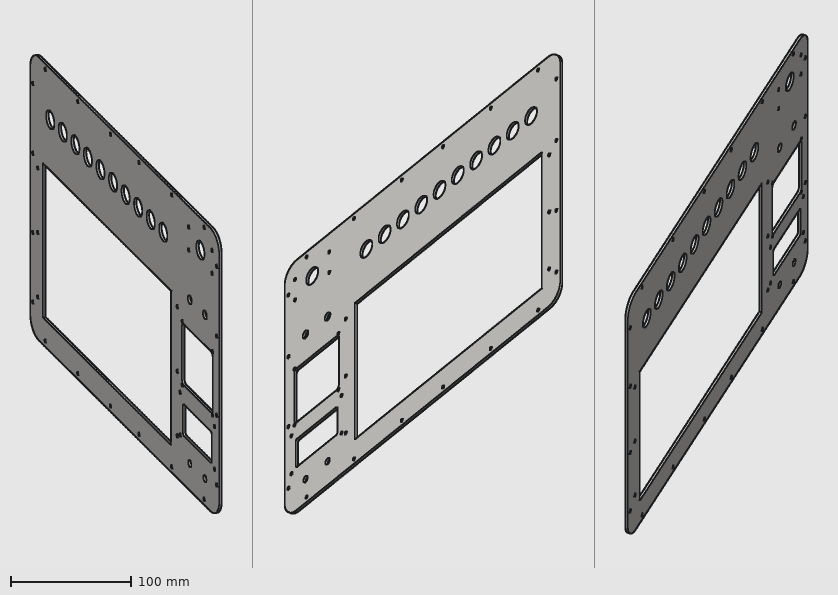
import cadquery as cq

width = 376.5
height = 264.3
thickness = 2.5
corner_radius = 17.0

screw_dia = 3.0
button_dia = 16.0

edge_inset = 5.3
top_screw_offsets = (28.2, 93.5, 158.0)
side_screw_offsets = (37.0, 102.0)

button_count = 10
button_pitch = 25.0
first_button_x = -148.5
button_row_z = 84.5

display_width = 255.0
display_height = 143.8
display_center = (-35.5, -35.0)
display_screw_center = (-34.3, -32.5)
display_screw_half_span = 139.0
display_screw_pitch = 60.2

connector_center = (150.5, 102.0)
connector_screw_span = (46.5, 21.5)

upper_window_size = (61.0, 57.0)
upper_window_radius = 3.8
upper_window_center = (144.5, -11.0)
upper_screw_span = (60.0, 59.0)

lower_window_size = (57.0, 29.5)
lower_window_radius = 2.0
lower_window_center = (144.5, -72.0)
lower_screw_center = (144.5, -69.3)
lower_screw_span = (68.5, 40.0)

pair_x = (129.5, 159.5)
upper_pair_z = 46.0
upper_pair_dia = 7.5
lower_pair_z = -107.0
lower_pair_dia = 6.0


def plate(size, center=(0, 0), radius=0):
    """Full-thickness block with optional rounded corners."""
    block = cq.Workplane("XZ").center(*center).rect(*size).extrude(thickness / 2, both=True)
    if radius:
        block = block.edges("|Y").fillet(radius)
    return block


def pins(points, diameter):
    """Full-thickness cylinders used to cut through holes."""
    return cq.Workplane("XZ").pushPoints(points).circle(diameter / 2).extrude(thickness / 2, both=True)


def rectangle_corners(center, span):
    """Four corners of a rectangle."""
    return [
        (center[0] + sx * span[0] / 2, center[1] + sz * span[1] / 2)
        for sx in (-1, 1)
        for sz in (-1, 1)
    ]


result = plate((width, height), radius=corner_radius)
result = result.cut(plate((display_width, display_height), display_center))
result = result.cut(plate(upper_window_size, upper_window_center, upper_window_radius))
result = result.cut(plate(lower_window_size, lower_window_center, lower_window_radius))

screws = []
for offset in top_screw_offsets:
    screws += rectangle_corners((0, 0), (2 * offset, height - 2 * edge_inset))
for offset in side_screw_offsets:
    screws += rectangle_corners((0, 0), (width - 2 * edge_inset, 2 * offset))
for side in (-1, 1):
    for row in (-1, 0, 1):
        screw_x = display_screw_center[0] + side * display_screw_half_span
        screw_z = display_screw_center[1] + row * display_screw_pitch
        screws.append((screw_x, screw_z))
screws += rectangle_corners(connector_center, connector_screw_span)
screws += rectangle_corners(upper_window_center, upper_screw_span)
screws += rectangle_corners(lower_screw_center, lower_screw_span)
result = result.cut(pins(screws, screw_dia))

buttons = [(first_button_x + i * button_pitch, button_row_z) for i in range(button_count)]
result = result.cut(pins(buttons + [connector_center], button_dia))

result = result.cut(pins([(x, upper_pair_z) for x in pair_x], upper_pair_dia))
result = result.cut(pins([(x, lower_pair_z) for x in pair_x], lower_pair_dia))